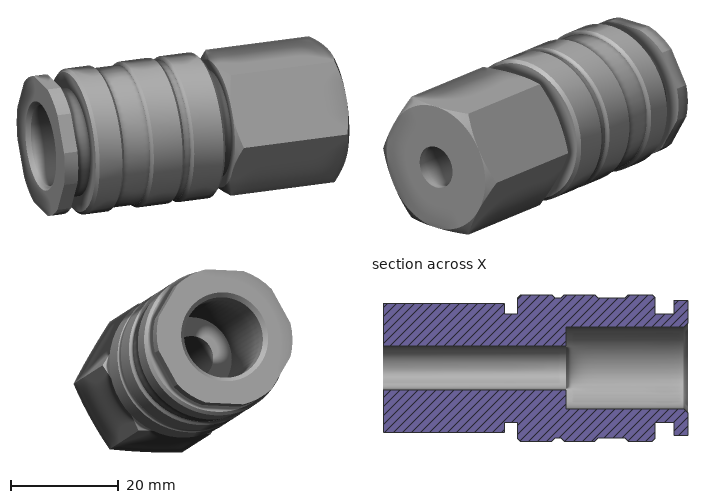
import cadquery as cq
import math

LENGTH = 56.5

HEX_START = 33.95
HEX_CORNERS = 27.7
HEX_FLATS = HEX_CORNERS * math.cos(math.radians(30))
HEX_CHAMFER_ANGLE = 30.0

RING_DIAMETER = 27.3
GROOVE_DIAMETER = 26.1
NECK_DIAMETER = 20.2
RING_CHAMFER = 0.55
RING_SPANS = [(6.1, 11.7), (16.8, 23.55), (24.75, 31.65)]

COLLAR_DIAMETER = 26.1
COLLAR_FLATS = 25.1
COLLAR_THICKNESS = 2.65

SOCKET_DIAMETER = 15.15
SOCKET_MOUTH_DIAMETER = 16.7
SOCKET_DEPTH = 22.6
BORE_DIAMETER = 8.0


def cylinder(diameter, start, end):
    """Solid cylinder along Y between two stations."""
    return cq.Workplane("XZ", origin=(0, start, 0)).circle(diameter / 2).extrude(start - end)


def hexagon(across_flats, start, end):
    """Hexagonal prism along Y with two corners on the X axis."""
    corners = across_flats / math.cos(math.radians(30))
    return cq.Workplane("XZ", origin=(0, start, 0)).polygon(6, corners).extrude(start - end)


def chamfered_cylinder(diameter, start, end, axial, radial):
    """Cylinder along Y with both end edges beveled."""
    radius = diameter / 2
    profile = [
        (0, start),
        (radius - radial, start),
        (radius, start + axial),
        (radius, end - axial),
        (radius - radial, end),
        (0, end),
    ]
    return cq.Workplane("XY").polyline(profile).close().revolve(360, (0, 0, 0), (0, 1, 0))


def make_hex_body():
    """Hexagon whose corners are trimmed by a cone at each end."""
    radial = (HEX_CORNERS - HEX_FLATS) / 2
    axial = radial * math.tan(math.radians(HEX_CHAMFER_ANGLE))
    trim = chamfered_cylinder(HEX_CORNERS, HEX_START, LENGTH, axial, radial)
    return hexagon(HEX_FLATS, HEX_START, LENGTH).intersect(trim)


def make_sleeve():
    """Grooved sleeve carrying three raised, beveled rings."""
    sleeve = cylinder(GROOVE_DIAMETER, RING_SPANS[0][0] + RING_CHAMFER, RING_SPANS[-1][1] - RING_CHAMFER)
    for start, end in RING_SPANS:
        sleeve = sleeve.union(chamfered_cylinder(RING_DIAMETER, start, end, RING_CHAMFER, RING_CHAMFER))
    return sleeve


def make_collar():
    """Round front collar with six flats."""
    disc = cylinder(COLLAR_DIAMETER, 0, COLLAR_THICKNESS)
    return disc.intersect(hexagon(COLLAR_FLATS, 0, COLLAR_THICKNESS))


def make_cavity():
    """Socket with a 45 degree lead-in, followed by the through bore."""
    lead_in = (SOCKET_MOUTH_DIAMETER - SOCKET_DIAMETER) / 2
    profile = [
        (0, 0),
        (SOCKET_MOUTH_DIAMETER / 2, 0),
        (SOCKET_DIAMETER / 2, lead_in),
        (SOCKET_DIAMETER / 2, SOCKET_DEPTH),
        (BORE_DIAMETER / 2, SOCKET_DEPTH),
        (BORE_DIAMETER / 2, LENGTH),
        (0, LENGTH),
    ]
    return cq.Workplane("XY").polyline(profile).close().revolve(360, (0, 0, 0), (0, 1, 0))


core = cylinder(NECK_DIAMETER, 0, HEX_START)
body = core.union(make_collar()).union(make_sleeve()).union(make_hex_body())
result = body.cut(make_cavity())